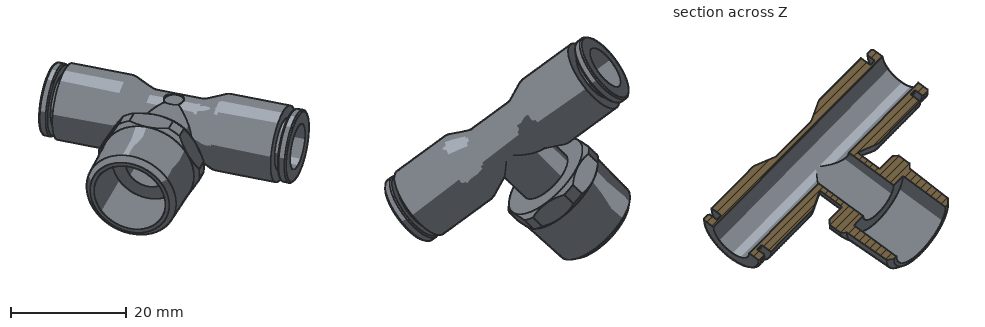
import cadquery as cq
import math


arm_length = 22.6
sleeve_end = 19.95
sleeve_radius = 6.8
neck_radius = 4.6
collar_radius = 6.45
collar_width = 1.6
collar_chamfer = 0.25
shoulder_outer_x = 8.7
shoulder_inner_x = 4.65
shoulder_blend = 1.63

tube_radius = 5.05
bore_radius = 4.02

nut_across_flats = 17.0
nut_top_y = -10.2
nut_width = 4.02
nut_bottom_y = nut_top_y - nut_width
nut_corner_radius = 9.2
nut_chamfer = 0.75

branch_end_y = -23.9
gauge_y = -19.45
gauge_radius = 8.3
taper_slope = 1 / 32
tip_chamfer_length = 0.85
tip_radius = 7.25
socket_radius = 6.5

recess_radius = 1.75
recess_depth = 0.4
recess_floor_z = tube_radius - recess_depth


def branch_cylinder(radius, start_y, end_y):
    """Cylinder on the branch axis between two Y positions."""
    return cq.Workplane("XZ", origin=(0, start_y, 0)).circle(radius).extrude(start_y - end_y)


def make_arm():
    """Tube, tapered shoulder and sleeve, followed by the neck and release collar."""
    body = (
        cq.Workplane("XY")
        .polyline([
            (0, 0),
            (0, tube_radius),
            (shoulder_inner_x, tube_radius),
            (shoulder_outer_x, sleeve_radius),
            (sleeve_end, sleeve_radius),
            (sleeve_end, 0),
        ])
        .close()
        .revolve(360, (0, 0, 0), (1, 0, 0))
    )
    shoulder_zone = cq.selectors.BoxSelector(
        (shoulder_inner_x - shoulder_blend, -sleeve_radius, -sleeve_radius),
        (shoulder_outer_x + shoulder_blend, sleeve_radius, sleeve_radius),
    )
    body = body.edges("%CIRCLE").edges(shoulder_zone).fillet(shoulder_blend)

    neck = cq.Workplane("YZ", origin=(sleeve_end, 0, 0)).circle(neck_radius).extrude(arm_length - sleeve_end)
    collar = (
        cq.Workplane("YZ", origin=(arm_length - collar_width, 0, 0))
        .circle(collar_radius)
        .extrude(collar_width)
        .edges()
        .chamfer(collar_chamfer)
    )
    return body.union(neck).union(collar)


def make_nut():
    """Hexagon with flats facing +Z and -Z, its corners turned round and chamfered."""
    hexagon = (
        cq.Workplane("XZ", origin=(0, nut_top_y, 0))
        .polygon(6, nut_across_flats / math.cos(math.pi / 6))
        .extrude(nut_width)
    )
    turned_blank = branch_cylinder(nut_corner_radius, nut_top_y, nut_bottom_y).edges().chamfer(nut_chamfer)
    return hexagon.intersect(turned_blank)


def taper_radius(y):
    """Radius of the thread cone at a Y position."""
    return gauge_radius + taper_slope * (y - gauge_y)


def make_thread():
    """Conical stub below the nut with a chamfered tip."""
    chamfer_y = branch_end_y + tip_chamfer_length
    return (
        cq.Workplane("XY")
        .polyline([
            (0, nut_bottom_y),
            (taper_radius(nut_bottom_y), nut_bottom_y),
            (taper_radius(chamfer_y), chamfer_y),
            (tip_radius, branch_end_y),
            (0, branch_end_y),
        ])
        .close()
        .revolve(360, (0, 0, 0), (0, 1, 0))
    )


arm = make_arm()
body = arm.union(arm.mirror("YZ"))
body = body.union(branch_cylinder(tube_radius, 0, nut_top_y))
body = body.union(make_nut()).union(make_thread())

run_bore = cq.Workplane("YZ", origin=(-arm_length, 0, 0)).circle(bore_radius).extrude(2 * arm_length)
branch_bore = branch_cylinder(bore_radius, 0, branch_end_y)
socket = branch_cylinder(socket_radius, nut_bottom_y, branch_end_y)
recess = (
    cq.Workplane("XY", origin=(0, 0, recess_floor_z))
    .circle(recess_radius)
    .extrude(recess_depth)
)

result = body.cut(run_bore).cut(branch_bore).cut(socket).cut(recess)